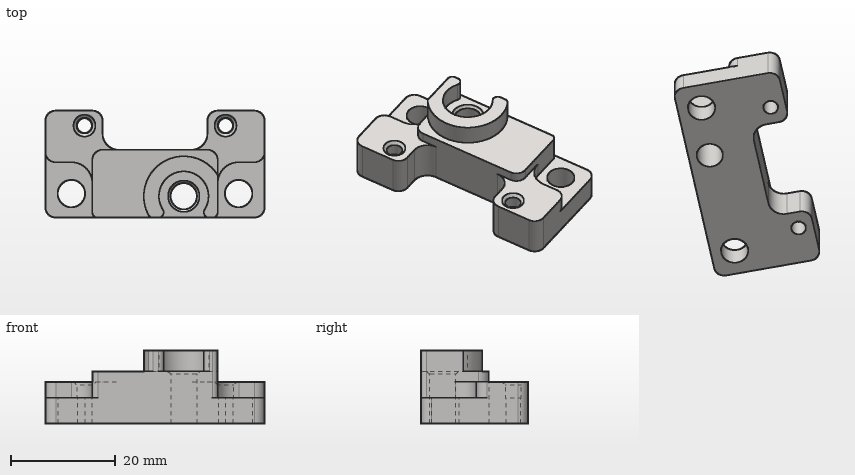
import cadquery as cq
import math


width = 42.0
depth = 20.5
ear_height = 8.0
outer_radius = 2.0
notch_half_width = 10.0
notch_root_radius = 3.0

block_half_width = 12.0
block_depth = 13.0
block_height = 10.0
block_rear_radius = 2.0
block_front_radius = 1.0

shelf_height = 5.0
mount_x = 16.0
mount_y = 4.6
mount_diameter = 5.2
shelf_rear_clearance = 6.0
shelf_rear_y = mount_y + shelf_rear_clearance
shelf_inner_radius = mount_x - block_half_width

ear_hole_x = 13.5
ear_hole_y = 17.6
ear_hole_diameter = 3.0
ear_lower_hole_diameter = 2.8
ear_countersink_diameter = 4.2

ring_x = 5.5
ring_y = 4.1
ring_height = 14.0
ring_outer_radius = 7.65
ring_inner_radius = 4.75
ring_tip_radius = 1.0
bore_diameter = 5.0
bore_countersink_diameter = 6.0

half_width = width / 2
sides = (-1, 1)
diagonal = math.sqrt(0.5)


def prism(x_min, x_max, y_min, y_max, z_min, z_max):
    """Rectangular block between the given limits."""
    size = (x_max - x_min, y_max - y_min, z_max - z_min)
    return cq.Workplane("XY").box(*size, centered=False).translate((x_min, y_min, z_min))


def cylinder(x, y, radius, z_min, z_max):
    """Upright cylinder."""
    return cq.Workplane("XY", origin=(x, y, z_min)).circle(radius).extrude(z_max - z_min)


def make_body():
    """Plate at ear height, with the rear notch and all upright corners rounded."""
    plate = prism(-half_width, half_width, 0, depth, 0, ear_height)
    notch = prism(-notch_half_width, notch_half_width, block_depth, depth, 0, ear_height)
    notch = notch.edges("|Z and <Y").fillet(notch_root_radius)
    plate = plate.edges("|Z").fillet(outer_radius)
    body = plate.cut(notch)
    mouth_edges = cq.selectors.BoxSelector(
        (-notch_half_width - outer_radius / 2, depth - outer_radius / 2, 0),
        (notch_half_width + outer_radius / 2, depth + outer_radius / 2, ear_height),
    )
    return body.edges("|Z").edges(mouth_edges).fillet(outer_radius)


def make_shelf_cut(side):
    """Material above one shelf; it reaches under the block's rounded front corner."""
    outer_x = half_width - outer_radius
    outer_y = shelf_rear_y + outer_radius
    inner_y = shelf_rear_y - shelf_inner_radius
    inner_x = block_half_width - block_front_radius
    outer_mid = (
        outer_x + outer_radius * diagonal,
        outer_y - outer_radius * diagonal,
    )
    inner_mid = (
        mount_x - shelf_inner_radius * diagonal,
        inner_y + shelf_inner_radius * diagonal,
    )
    return (
        cq.Workplane("XY", origin=(0, 0, shelf_height))
        .moveTo(side * half_width, 0)
        .lineTo(side * half_width, outer_y)
        .threePointArc((side * outer_mid[0], outer_mid[1]), (side * outer_x, shelf_rear_y))
        .lineTo(side * mount_x, shelf_rear_y)
        .threePointArc((side * inner_mid[0], inner_mid[1]), (side * block_half_width, inner_y))
        .lineTo(side * inner_x, inner_y)
        .lineTo(side * inner_x, 0)
        .close()
        .extrude(ear_height - shelf_height)
    )


def make_block():
    """Central block standing on the shelf level."""
    block = prism(-block_half_width, block_half_width, 0, block_depth, shelf_height, block_height)
    block = block.edges("|Z and >Y").fillet(block_rear_radius)
    return block.edges("|Z and <Y").fillet(block_front_radius)


def make_ring():
    """Ring trimmed flush with the block's front and right faces, with rounded tips at the front."""
    disc = cylinder(ring_x, ring_y, ring_outer_radius, block_height, ring_height)
    trim = prism(-block_half_width, block_half_width, 0, block_depth, block_height, ring_height)
    trim = trim.edges("|Z and <Y").fillet(block_front_radius)
    opening = cylinder(ring_x, ring_y, ring_inner_radius, block_height, ring_height)
    ring = disc.intersect(trim).cut(opening)
    sharp_tip_edges = cq.selectors.BoxSelector(
        (ring_x - ring_outer_radius, -ring_tip_radius, block_height),
        (ring_x + ring_inner_radius, ring_tip_radius, ring_height),
    )
    return ring.faces("<Y").edges("|Z").edges(sharp_tip_edges).fillet(ring_tip_radius)


def make_countersunk_hole(x, y, diameter, countersink_diameter, bottom, top):
    """Hole between two levels with a 45 degree countersink at its top."""
    sink_depth = (countersink_diameter - diameter) / 2
    cone = cq.Solid.makeCone(
        diameter / 2, countersink_diameter / 2, sink_depth, pnt=cq.Vector(x, y, top - sink_depth)
    )
    return cylinder(x, y, diameter / 2, bottom, top).union(cq.Workplane(cone))


def make_ear_hole(x):
    """Countersunk hole of an ear, stepping down to the narrower lower hole."""
    upper = make_countersunk_hole(
        x, ear_hole_y, ear_hole_diameter, ear_countersink_diameter, shelf_height, ear_height
    )
    return upper.union(cylinder(x, ear_hole_y, ear_lower_hole_diameter / 2, 0, shelf_height))


def make_mount_hole(x):
    """Plain through hole in a shelf."""
    return cylinder(x, mount_y, mount_diameter / 2, 0, shelf_height)


def make_bore():
    """Through hole at the centre of the ring, countersunk at the top of the block."""
    return make_countersunk_hole(
        ring_x, ring_y, bore_diameter, bore_countersink_diameter, 0, block_height
    )


result = make_body()
for side in sides:
    result = result.cut(make_shelf_cut(side))
result = result.union(make_block()).union(make_ring())
for side in sides:
    result = result.cut(make_mount_hole(side * mount_x))
    result = result.cut(make_ear_hole(side * ear_hole_x))
result = result.cut(make_bore())